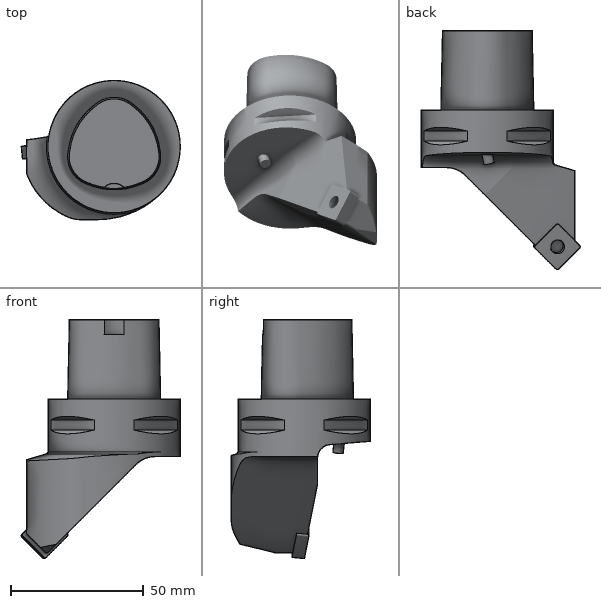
import cadquery as cq
import math

REACH = 150.0

shank_length = 30.0
shank_width = 34.95
shank_taper = 1 / 24
lobe_height = 1.15
lobe_half_angle = 35.5
notch_depth = 5.6
notch_radius = 5.0
notch_floor_y = -13.85

flange_radius = 25.0
flange_height = 20.0
grip_middle_z = -9.85
grip_distance = 22.15
grip_floor_height = 3.7
grip_wall_angle = 27.0
grip_angles = (45, 135, 225, 315)

neck_radius = 25.6
neck_z = -20.7
neck_slope = 16.5

neck_left = -33.07
neck_front = -27.67
left_wall_end_y = -10.3
side_arc_middle = (-26.0, -20.95)
side_arc_end = (-17.56, -26.6)
front_flat_start_x = -12.5
front_flat_end_x = -6.5

neck_bottom_z = -21.8
relief_line = 33.0
tip_line = -84.0
neck_fillet = 10.0
tip_fillet = 0.8
heel_start = (-11.3, -58.0)
heel_angle = 13.5

insert_side = 12.7
insert_thickness = 4.76
insert_corner = 0.8
insert_hole = 5.16
insert_tilt = 8.0
insert_middle = (-26.52, -51.71)
insert_proud = 0.5

wall_y = 5.04
floor_edge_z = -16.0
floor_angle = 4.7
chip_fillet = 5.0

nozzle_diameter = 4.0
nozzle_x = 0.0
nozzle_y = 13.1
nozzle_length = 3.3
nozzle_tilt_x = 12.0
nozzle_tilt_y = 6.0


def polygon_point(width, angle):
    """Point of the three-lobed polygon whose surface normal points along angle."""
    turn = math.radians(angle)
    lobe_turn = 3 * (turn - math.pi / 2)
    support = width / 2 + lobe_height * math.cos(lobe_turn)
    shift = -3 * lobe_height * math.sin(lobe_turn)
    return (
        support * math.cos(turn) - shift * math.sin(turn),
        support * math.sin(turn) + shift * math.cos(turn),
    )


def polygon_outline(plane, width):
    outline = plane.moveTo(*polygon_point(width, 90 - lobe_half_angle))
    for crest in (90, 210, 330):
        lobe_end = crest + lobe_half_angle
        next_lobe = crest + 120 - lobe_half_angle
        outline = outline.threePointArc(polygon_point(width, crest), polygon_point(width, lobe_end))
        outline = outline.threePointArc(polygon_point(width, crest + 60), polygon_point(width, next_lobe))
    return outline.close()


def make_shank():
    base = polygon_outline(cq.Workplane("XY"), shank_width)
    top_width = shank_width - shank_taper * shank_length
    shank = polygon_outline(base.workplane(offset=shank_length), top_width).loft(ruled=True)
    notch = (
        cq.Workplane("XY", origin=(0, notch_floor_y - notch_radius, shank_length - notch_depth))
        .circle(notch_radius)
        .extrude(shank_length)
    )
    return shank.cut(notch)


def make_grip_slot(angle):
    depth = flange_radius - grip_distance
    half_floor = grip_floor_height / 2
    half_mouth = half_floor + depth * math.tan(math.radians(grip_wall_angle))
    return (
        cq.Workplane("XZ", origin=(0, 0, grip_middle_z))
        .moveTo(grip_distance, -half_floor)
        .lineTo(grip_distance, half_floor)
        .lineTo(flange_radius, half_mouth)
        .lineTo(flange_radius, -half_mouth)
        .close()
        .extrude(flange_radius, both=True)
        .rotate((0, 0, 0), (0, 0, 1), angle)
    )


def make_flange():
    flange = cq.Workplane("XY").circle(flange_radius).extrude(-flange_height)
    for angle in grip_angles:
        flange = flange.cut(make_grip_slot(angle))
    return flange


def make_neck_plan():
    flat_drop = -neck_front
    blend_radius = (front_flat_end_x**2 + flat_drop**2 - flange_radius**2) / (2 * (flat_drop - flange_radius))
    blend_y = neck_front + blend_radius
    centre_gap = blend_radius - flange_radius
    blend_end = (
        -front_flat_end_x / centre_gap * flange_radius,
        -blend_y / centre_gap * flange_radius,
    )
    blend_end_angle = math.atan2(blend_end[1], blend_end[0])
    middle_turn = (blend_end_angle - math.pi / 2) / 2
    blend_middle = (
        front_flat_end_x + blend_radius * math.cos(middle_turn),
        blend_y + blend_radius * math.sin(middle_turn),
    )
    return (
        cq.Workplane("XY")
        .moveTo(neck_left, left_wall_end_y)
        .threePointArc(side_arc_middle, side_arc_end)
        .tangentArcPoint((front_flat_start_x, neck_front), relative=False)
        .lineTo(front_flat_end_x, neck_front)
        .threePointArc(blend_middle, blend_end)
        .lineTo(0, wall_y)
        .lineTo(neck_left, wall_y)
        .close()
        .extrude(-REACH)
        .union(cq.Workplane("XY").circle(flange_radius).extrude(-REACH))
    )


def make_neck_side():
    """Side shape of the neck: two 45 degree faces that meet at the tip, and a flat under the flange."""
    tip = ((relief_line + tip_line) / 2, (tip_line - relief_line) / 2)
    flat_start = (neck_bottom_z + relief_line, neck_bottom_z)
    return (
        cq.Workplane("XZ")
        .moveTo(neck_left, -flange_height)
        .lineTo(neck_left, tip_line - neck_left)
        .lineTo(*tip)
        .lineTo(*flat_start)
        .lineTo(flange_radius, neck_bottom_z)
        .lineTo(flange_radius, -flange_height)
        .close()
        .extrude(REACH, both=True)
        .edges(cq.NearestToPointSelector((tip[0], 0, tip[1])))
        .fillet(tip_fillet)
        .edges(cq.NearestToPointSelector((flat_start[0], 0, flat_start[1])))
        .fillet(neck_fillet)
    )


def make_shoulder():
    """Everything under the conical shoulder of the neck."""
    cone_drop = (REACH - neck_radius) * math.tan(math.radians(neck_slope))
    return (
        cq.Workplane("XZ")
        .moveTo(0, -flange_height)
        .lineTo(flange_radius, -flange_height)
        .lineTo(neck_radius, neck_z)
        .lineTo(REACH, neck_z - cone_drop)
        .lineTo(REACH, -REACH)
        .lineTo(0, -REACH)
        .close()
        .revolve(360, (0, 0, 0), (0, 1, 0))
    )


def make_heel_relief():
    heel_y, heel_z = heel_start
    heel_rise = REACH * math.tan(math.radians(heel_angle))
    return (
        cq.Workplane("YZ")
        .moveTo(heel_y, heel_z)
        .lineTo(heel_y - REACH, heel_z + heel_rise)
        .lineTo(heel_y - REACH, heel_z - REACH)
        .lineTo(heel_y, heel_z - REACH)
        .close()
        .extrude(REACH, both=True)
    )


def floor_z(y):
    return floor_edge_z - (flange_radius - y) * math.tan(math.radians(floor_angle))


def make_rake_plane(offset):
    """Plane of the insert's rake face, moved by offset along Y. It rises along X and Z alike."""
    tilt = math.radians(insert_tilt)
    side = math.sin(tilt) / math.sqrt(2)
    middle_x, middle_z = insert_middle
    middle_y = insert_side / 2 * math.sin(tilt)
    return cq.Plane(
        origin=(middle_x, middle_y + offset, middle_z),
        xDir=(-1, 0, 1),
        normal=(-side, math.cos(tilt), -side),
    )


def make_under_floor():
    """Everything under the sloping floor of the chip space."""
    return (
        cq.Workplane("YZ")
        .moveTo(-REACH, floor_z(-REACH))
        .lineTo(REACH, floor_z(REACH))
        .lineTo(REACH, -2 * REACH)
        .lineTo(-REACH, -2 * REACH)
        .close()
        .extrude(REACH, both=True)
    )


def make_chip_space():
    """Space over the insert: a rake-parallel face and an upright wall, both rounded into the floor."""
    under_floor = make_under_floor()
    over_rake = cq.Workplane(make_rake_plane(-insert_proud)).rect(REACH, REACH).extrude(REACH)
    behind_wall = cq.Workplane("XZ", origin=(0, wall_y, 0)).rect(REACH, 2 * REACH).extrude(-REACH)
    rake_space = over_rake.intersect(under_floor)
    wall_space = behind_wall.intersect(under_floor)
    corner = cq.NearestToPointSelector((0, wall_y, floor_z(wall_y)))
    return rake_space.edges(corner).fillet(chip_fillet).union(wall_space.edges(corner).fillet(chip_fillet))


def make_nozzle():
    return (
        cq.Workplane("XY")
        .circle(nozzle_diameter / 2)
        .extrude(-2 * nozzle_length)
        .translate((0, 0, nozzle_length))
        .rotate((0, 0, 0), (0, 1, 0), nozzle_tilt_x)
        .rotate((0, 0, 0), (1, 0, 0), -nozzle_tilt_y)
        .translate((nozzle_x, nozzle_y, floor_z(nozzle_y)))
    )


def make_insert_blank():
    return (
        cq.Workplane(make_rake_plane(0))
        .rect(insert_side, insert_side)
        .extrude(-insert_thickness)
        .edges(cq.ParallelDirSelector(make_rake_plane(0).zDir))
        .fillet(insert_corner)
    )


def make_insert():
    hole = cq.Workplane(make_rake_plane(0)).circle(insert_hole / 2).extrude(-insert_thickness)
    return make_insert_blank().cut(hole)


def make_holder():
    neck = make_neck_plan().intersect(make_neck_side()).intersect(make_shoulder())
    neck = neck.cut(make_heel_relief())
    body = make_flange().union(neck).cut(make_chip_space())
    return body.union(make_shank()).union(make_nozzle()).cut(make_insert_blank())


holder = make_holder()
insert = make_insert()

result = cq.Compound.makeCompound([holder.val(), insert.val()])